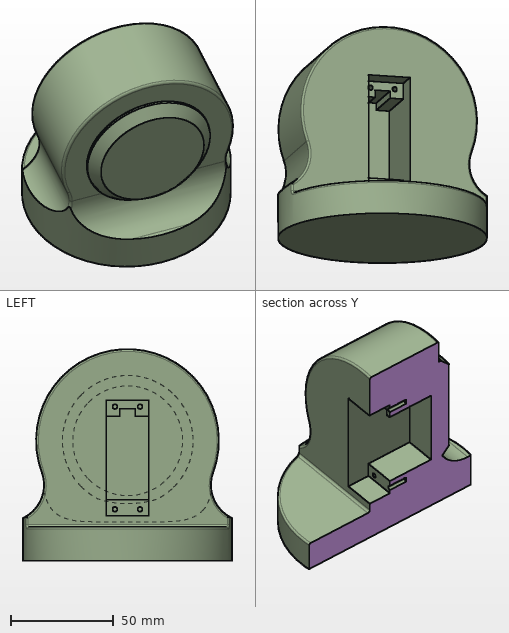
import cadquery as cq
import math

foot_radius = 50.8
foot_height = 19.05
step_height = 16.51

head_radius = 44.45
head_front = -12.7
head_back = 30.48
head_center_z = 58.42

neck_radius = 17.78
front_edge_radius = 1.016
back_edge_radius = 1.27
step_corner_radius = 1.27

ring_radius = 31.75
ring_bevel = 5.08
ring_straight = 1.27

pocket_width = 20.83
pocket_bottom = 21.85
pocket_top = 78.05
ledge_height = 7.8
ledge_depth = 12.5
body_depth = 38.1
cable_notch_width = 7.5
cable_notch_height = 3.55
screw_diameter = 2.29
screw_depth = 10.16
screw_spacing_y = 12.2
screw_spacing_z = 49.85

probe = 0.01

neck_center_z = foot_height + neck_radius
neck_center_distance = head_radius + neck_radius
neck_drop = head_center_z - neck_center_z
neck_center_y = math.sqrt(neck_center_distance**2 - neck_drop**2)
neck_angle = math.asin(neck_drop / neck_center_distance)
head_top_z = head_center_z + head_radius
pocket_center_z = (pocket_bottom + pocket_top) / 2


def make_front_shape():
    """Outline of head, neck and foot in the YZ plane, extruded over the whole foot."""
    join_y = head_radius * math.cos(neck_angle)
    join_z = head_center_z - head_radius * math.sin(neck_angle)
    waist_y = neck_center_y - neck_radius
    return (
        cq.Workplane("YZ", origin=(-foot_radius, 0, 0))
        .moveTo(-neck_center_y, 0)
        .lineTo(neck_center_y, 0)
        .lineTo(neck_center_y, foot_height)
        .threePointArc((waist_y, neck_center_z), (join_y, join_z))
        .threePointArc((0, head_top_z), (-join_y, join_z))
        .threePointArc((-waist_y, neck_center_z), (-neck_center_y, foot_height))
        .close()
        .extrude(2 * foot_radius)
    )


def make_side_shape():
    """Profile of step, head thickness and back flare in the XZ plane, extruded past the head."""
    step_end_x = head_front - step_corner_radius
    step_corner_z = step_height + step_corner_radius
    flare_end_x = head_back + neck_radius
    step_offset = step_corner_radius * math.sqrt(0.5)
    flare_offset = neck_radius * math.sqrt(0.5)
    return (
        cq.Workplane("XZ", origin=(0, 2 * foot_radius, 0))
        .moveTo(-foot_radius, 0)
        .lineTo(foot_radius, 0)
        .lineTo(foot_radius, foot_height)
        .lineTo(flare_end_x, foot_height)
        .threePointArc(
            (flare_end_x - flare_offset, neck_center_z - flare_offset),
            (head_back, neck_center_z),
        )
        .lineTo(head_back, head_top_z)
        .lineTo(head_front, head_top_z)
        .lineTo(head_front, step_corner_z)
        .threePointArc(
            (step_end_x + step_offset, step_corner_z - step_offset),
            (step_end_x, step_height),
        )
        .lineTo(-foot_radius, step_height)
        .close()
        .extrude(4 * foot_radius)
    )


def round_back_edge(solid):
    """Round the back outline of the head and the upper part of the neck."""
    back_outline = cq.selectors.BoxSelector(
        (head_back - probe, -foot_radius, foot_height),
        (foot_radius, foot_radius, 2 * head_top_z),
    )
    return solid.edges(back_outline).edges("not |Y").fillet(back_edge_radius)


def trim_foot(solid):
    """Cut everything below the waist of the neck to the round foot."""
    foot_cylinder = cq.Workplane("XY").circle(foot_radius).extrude(neck_center_z)
    above_waist = (
        cq.Workplane("XY", origin=(0, 0, neck_center_z))
        .rect(4 * foot_radius, 4 * foot_radius)
        .extrude(2 * head_radius)
    )
    return solid.intersect(foot_cylinder).union(solid.intersect(above_waist)).clean()


def round_front_edge(solid):
    """Round the front outline of the head and the rim of the step as one chain."""
    front_outline = cq.selectors.BoxSelector(
        (-2 * foot_radius, -2 * foot_radius, probe),
        (head_front + probe, 2 * foot_radius, 2 * head_top_z),
        boundingbox=True,
    )
    return solid.edges(front_outline).edges("not |Y").fillet(front_edge_radius)


def make_ring():
    """Short cylinder with a bevelled rim, seated on the back of the head."""
    ring_length = ring_straight + ring_bevel
    return (
        cq.Workplane("YZ", origin=(head_back, 0, head_center_z))
        .circle(ring_radius)
        .extrude(ring_length)
        .faces(">X")
        .chamfer(ring_bevel)
    )


def front_cut(width, bottom, top, depth):
    """Rectangular recess centred on Y, sunk from the front face of the head."""
    return (
        cq.Workplane("YZ", origin=(head_front, 0, (bottom + top) / 2))
        .rect(width, top - bottom)
        .extrude(depth)
    )


def make_servo_pocket():
    """Pocket with a screw ledge at each end and a cable notch in the upper ledge."""
    body_bottom = pocket_bottom + ledge_height
    body_top = pocket_top - ledge_height
    mouth = front_cut(pocket_width, pocket_bottom, pocket_top, ledge_depth)
    servo_body = front_cut(pocket_width, body_bottom, body_top, body_depth)
    cable_notch = front_cut(cable_notch_width, body_bottom, body_top + cable_notch_height, body_depth)
    screws = (
        cq.Workplane("YZ", origin=(head_front + ledge_depth, 0, pocket_center_z))
        .rect(screw_spacing_y, screw_spacing_z, forConstruction=True)
        .vertices()
        .circle(screw_diameter / 2)
        .extrude(screw_depth)
    )
    return mouth.union(servo_body).union(cable_notch).union(screws)


body = make_front_shape().intersect(make_side_shape())
body = round_back_edge(body)
body = trim_foot(body)
body = round_front_edge(body)
result = body.union(make_ring()).cut(make_servo_pocket())